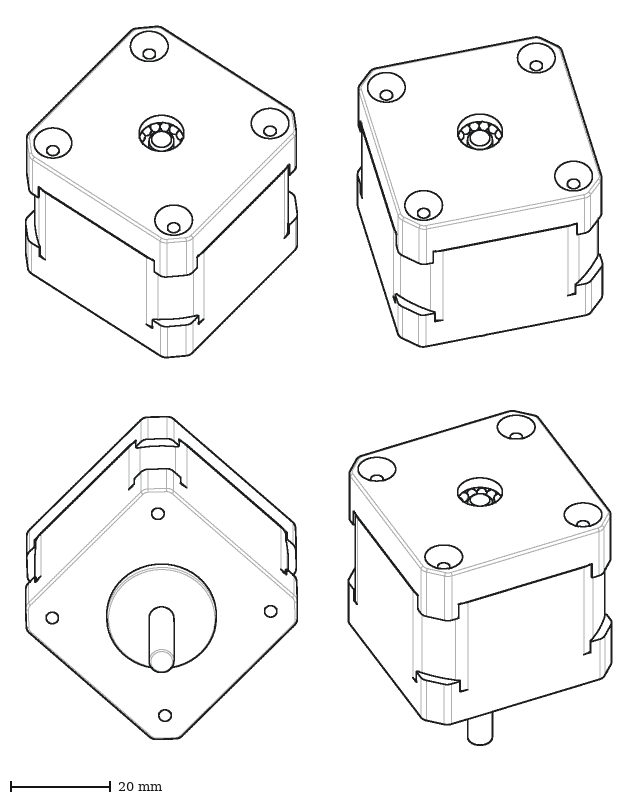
import cadquery as cq
import math

total_height = 63.5
body_width = 42.3
body_height = 39.0
edge_round = 0.5

rear_cap_width = 42.05
rear_corner_leg = 3.9
front_corner_leg = 3.8
cap_corner_round = 2.0
rear_plate_height = 8.5
rear_post_height = 3.5
rear_post_inset = 14.85
front_plate_height = 7.95
front_post_height = 2.7
front_post_inset = 14.55

stator_diameter = 50.9
stator_edge_round = 4.0

hole_spacing = 31.0
hole_diameter = 2.5
countersink_diameter = 7.55
countersink_angle = 90

boss_diameter = 22.0
boss_height = 2.0
boss_round = 0.3
shaft_diameter = 5.0
shaft_tip_round = 0.3
shaft_rear_bevel_width = 0.5
shaft_rear_bevel_height = 0.65
shaft_rear_depth = 2.05

opening_diameter = 9.0
opening_depth = 2.5
chamber_depth = 3.25
chamber_diameter = 10.8
ball_pitch_diameter = 9.5
ball_diameter = 2.0
ball_count = 15

rear_plate_bottom = body_height - rear_plate_height
shaft_tip_z = body_height - total_height


def cap_block(width, corner_leg, bottom, height):
    """Square block with chamfered corners whose vertical edges are rounded."""
    return (
        cq.Workplane("XY", origin=(0, 0, bottom))
        .rect(width, width)
        .extrude(height)
        .edges("|Z")
        .chamfer(corner_leg)
        .edges("|Z")
        .fillet(cap_corner_round)
    )


def side_notches(inset, bottom, height):
    """Crossed bars that leave only the four corner posts of a cap."""
    notch_length = 2 * body_width
    bars = cq.Workplane("XY", origin=(0, 0, bottom)).rect(2 * inset, notch_length).extrude(height)
    return bars.union(bars.rotate((0, 0, 0), (0, 0, 1), 90))


def rear_cap():
    post_bottom = rear_plate_bottom - rear_post_height
    cap = cap_block(rear_cap_width, rear_corner_leg, post_bottom, rear_plate_height + rear_post_height)
    cap = cap.faces(">Z").edges().fillet(edge_round)
    return cap.cut(side_notches(rear_post_inset, post_bottom, rear_post_height))


def front_cap():
    cap = cap_block(body_width, front_corner_leg, 0, front_plate_height + front_post_height)
    cap = cap.faces("<Z").edges().fillet(edge_round)
    return cap.cut(side_notches(front_post_inset, front_plate_height, front_post_height))


def stator():
    """Square stack trimmed to a circle at the corners, running from cap to cap."""
    height = rear_plate_bottom - front_plate_height
    base = cq.Workplane("XY", origin=(0, 0, front_plate_height))
    stack = base.rect(body_width, body_width).extrude(height)
    stack = stack.intersect(base.circle(stator_diameter / 2).extrude(height))
    return stack.edges("|Z").fillet(stator_edge_round)


def boss():
    return (
        cq.Workplane("XY")
        .circle(boss_diameter / 2)
        .extrude(-boss_height)
        .faces("<Z")
        .edges()
        .fillet(boss_round)
    )


def shaft():
    length = total_height - shaft_rear_depth
    rod = cq.Workplane("XY", origin=(0, 0, shaft_tip_z)).circle(shaft_diameter / 2).extrude(length)
    rod = rod.faces("<Z").edges().fillet(shaft_tip_round)
    return rod.faces(">Z").edges().chamfer(shaft_rear_bevel_height, shaft_rear_bevel_width)


def rear_recess():
    """Round opening in the rear face that widens into the bearing chamber."""
    top = cq.Workplane("XY", origin=(0, 0, body_height))
    opening = top.circle(opening_diameter / 2).extrude(-opening_depth)
    chamber = (
        top.workplane(offset=-opening_depth)
        .circle(chamber_diameter / 2)
        .extrude(-chamber_depth)
    )
    return opening.union(chamber)


def bearing_balls():
    """Ring of balls half-way down the bearing chamber, set into its outer wall."""
    ring_z = body_height - opening_depth - chamber_depth / 2
    ball = cq.Workplane("XY").sphere(ball_diameter / 2)
    balls = cq.Workplane("XY")
    for index in range(ball_count):
        angle = 2 * math.pi * index / ball_count
        x = ball_pitch_diameter / 2 * math.cos(angle)
        y = ball_pitch_diameter / 2 * math.sin(angle)
        balls = balls.union(ball.translate((x, y, ring_z)))
    return balls


body = stator().union(rear_cap()).union(front_cap()).union(boss())
body = (
    body.faces(">Z")
    .workplane(origin=(0, 0, body_height))
    .rect(hole_spacing, hole_spacing, forConstruction=True)
    .vertices()
    .cskHole(hole_diameter, countersink_diameter, countersink_angle)
)
body = body.cut(rear_recess())
result = body.union(shaft()).union(bearing_balls()).clean()